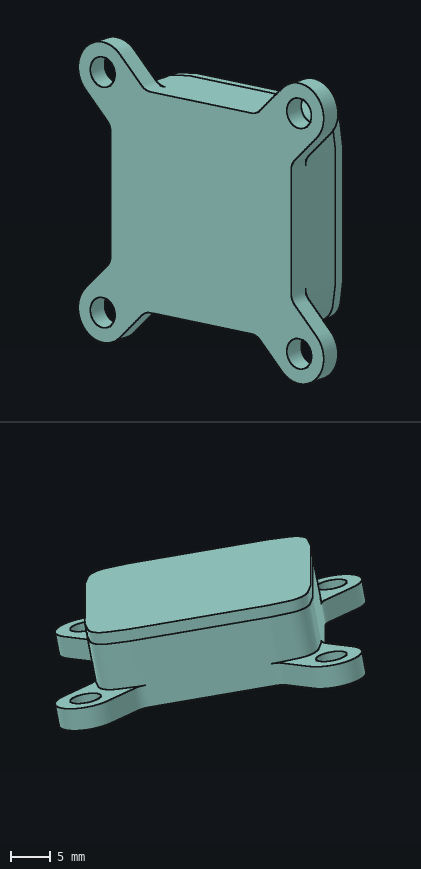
import cadquery as cq
import math

overall_width = 40.0
overall_depth = 10.75
plate_thickness = 3.0
lid_thickness = 1.6
housing_depth = overall_depth - lid_thickness

lug_radius = 4.0
hole_diameter = 4.0
arm_root_radius = 2.0
hole_offset = overall_width / 2 - lug_radius

box_width = 29.4
bend_angle = 7.8
outline_radius = 3.0

box_half = box_width / 2
bend_start = box_half - lug_radius * math.sqrt(2)
bend_slope = math.tan(math.radians(bend_angle))
corner = (box_half + bend_start * bend_slope) / (1 + bend_slope)


def is_arm_root(edge):
    """True for an edge along Y where an arm leaves the side of the plate."""
    center = edge.Center()
    return math.isclose(max(abs(center.x), abs(center.z)), box_half, abs_tol=0.005)


def front_plane(y):
    """Sketch plane at depth y, with X to the right, Z up and its normal toward -Y."""
    return cq.Workplane("XZ", origin=(0, y, 0))


def make_box(y_start, depth):
    """Prism of the rounded box outline, running from y_start toward +Y."""
    outline = [
        (bend_start, box_half),
        (corner, corner),
        (box_half, bend_start),
        (box_half, -bend_start),
        (corner, -corner),
        (bend_start, -box_half),
        (-bend_start, -box_half),
        (-corner, -corner),
        (-box_half, -bend_start),
        (-box_half, bend_start),
        (-corner, corner),
        (-bend_start, box_half),
    ]
    box = front_plane(y_start).polyline(outline).close().extrude(-depth)
    return box.edges("|Y").fillet(outline_radius)


def make_mounting_plate():
    """Square plate with a round-ended, drilled arm along each diagonal."""
    arm_length = 2 * (hole_offset * math.sqrt(2) + lug_radius)
    plate = front_plane(0).rect(box_width, box_width).extrude(-plate_thickness)
    for angle in (45, -45):
        arm_pair = front_plane(0).slot2D(arm_length, 2 * lug_radius, angle).extrude(-plate_thickness)
        plate = plate.union(arm_pair)
    plate = plate.edges("|Y").filter(is_arm_root).fillet(arm_root_radius)
    holes = (
        front_plane(0)
        .rect(2 * hole_offset, 2 * hole_offset, forConstruction=True)
        .vertices()
        .circle(hole_diameter / 2)
        .extrude(-plate_thickness)
    )
    return plate.cut(holes)


def make_housing():
    """Box and its mounting plate in one piece."""
    return make_box(0, housing_depth).union(make_mounting_plate())


def make_lid():
    """Flat lid closing the back of the housing, with the same outline as the box."""
    return make_box(housing_depth, lid_thickness)


housing = make_housing()
lid = make_lid()

result = cq.Compound.makeCompound([housing.val(), lid.val()])